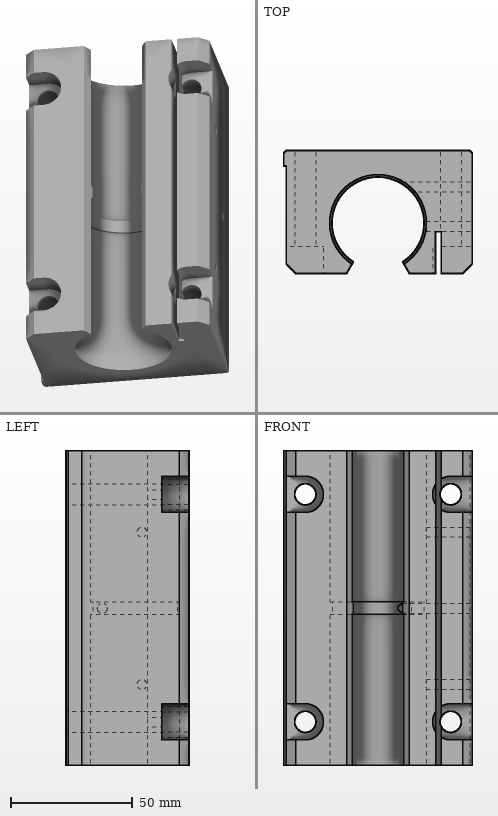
import cadquery as cq
import math

width = 78.0
length = 130.0
depth = 51.0
back_y = 30.0
front_y = back_y - depth
half_width = width / 2

locating_step = 1.0
locating_height = 6.5
back_chamfer = 1.0
front_chamfer = 4.0

bore_radius = 20.0
rib_radius = 19.0
rib_height = 5.2
mouth_half_width = 13.0
mouth_half_angle = math.radians(30)

slit_x = 25.0
slit_width = 2.3
slit_depth = 17.3

hole_diameter = 8.7
seat_width = 15.0
seat_depth = 11.3
hole_spacing_x = 60.0
hole_spacing_z = 94.0

screw_hole_diameter = 4.0
screw_hole_y = -1.3
screw_hole_spacing_z = 62.9
grease_hole_diameter = 4.2
grease_hole_y = 15.1


def make_block():
    """Extruded outline with a thin locating ledge along the back left edge."""
    side_x = -half_width + locating_step
    ledge_y = back_y - locating_height
    outline = [
        (-half_width + back_chamfer, back_y),
        (half_width - back_chamfer, back_y),
        (half_width, back_y - back_chamfer),
        (half_width, front_y + front_chamfer),
        (half_width - front_chamfer, front_y),
        (side_x + front_chamfer, front_y),
        (side_x, front_y + front_chamfer),
        (side_x, ledge_y),
        (-half_width, ledge_y),
        (-half_width, back_y - back_chamfer),
    ]
    return cq.Workplane("XY").polyline(outline).close().extrude(length / 2, both=True)


def make_bore():
    """Through bore, narrowed by a low rib at mid length."""
    bore = cq.Workplane("XY").circle(bore_radius).extrude(length / 2, both=True)
    rib = (
        cq.Workplane("XY")
        .circle(bore_radius)
        .circle(rib_radius)
        .extrude(rib_height / 2, both=True)
    )
    return bore.cut(rib)


def make_mouth():
    """V-shaped opening from the front face into the bore, widest at the front."""
    tip_y = front_y + mouth_half_width / math.tan(mouth_half_angle)
    wedge = [(0, tip_y), (mouth_half_width, front_y), (-mouth_half_width, front_y)]
    return cq.Workplane("XY").polyline(wedge).close().extrude(length / 2, both=True)


def make_slit():
    return cq.Workplane("XY").box(slit_width, slit_depth, length).translate(
        (slit_x, front_y + slit_depth / 2, 0)
    )


def make_mounting_hole(side, z):
    """Clearance hole along Y with a round-ended seat open to the outer side."""
    x = side * hole_spacing_x / 2
    front_plane = cq.Workplane("XZ", origin=(x, front_y, z))
    hole = front_plane.circle(hole_diameter / 2).extrude(-depth)
    seat_end = front_plane.circle(seat_width / 2).extrude(-seat_depth)
    run_out = half_width - hole_spacing_x / 2
    seat_channel = (
        front_plane.center(side * run_out / 2, 0)
        .rect(run_out, seat_width)
        .extrude(-seat_depth)
    )
    return hole.union(seat_end).union(seat_channel)


def make_side_hole(diameter, y, z):
    """Hole along X from inside the bore out through the +X side."""
    return cq.Workplane("YZ", origin=(0, y, z)).circle(diameter / 2).extrude(half_width)


result = make_block().cut(make_bore()).cut(make_mouth()).cut(make_slit())
for side in (-1, 1):
    for z in (-hole_spacing_z / 2, hole_spacing_z / 2):
        result = result.cut(make_mounting_hole(side, z))

for z in (-screw_hole_spacing_z / 2, screw_hole_spacing_z / 2):
    result = result.cut(make_side_hole(screw_hole_diameter, screw_hole_y, z))
result = result.cut(make_side_hole(grease_hole_diameter, grease_hole_y, 0))